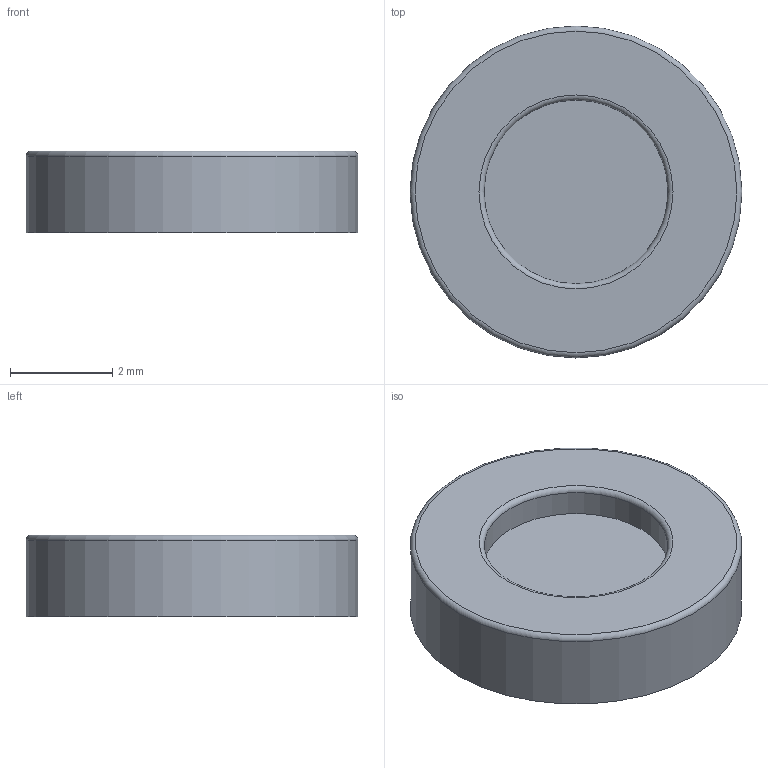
import cadquery as cq

outer_diameter = 6.5
height = 1.6
recess_diameter = 3.6
recess_depth = 0.6
rim_fillet = 0.1

disc = cq.Workplane("XY").circle(outer_diameter / 2).extrude(height)

recessed_disc = disc.faces(">Z").workplane().hole(recess_diameter, recess_depth)

result = recessed_disc.faces(">Z").edges().fillet(rim_fillet)